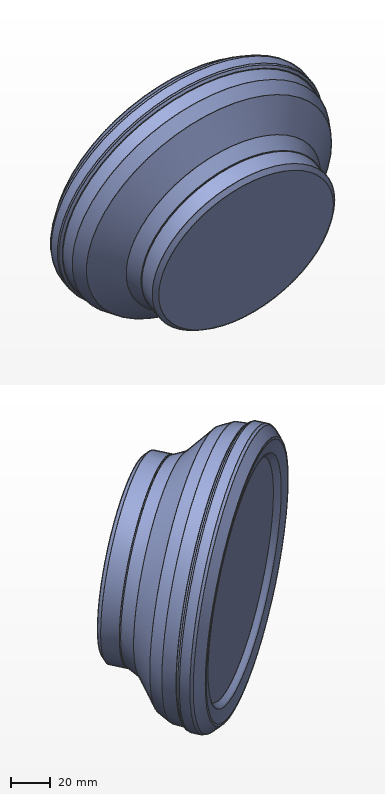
import cadquery as cq

LENGTH = 62.9

BEZEL_RADIUS = 80.0
BEZEL_DEPTH = 14.2
BEZEL_BACK_RADIUS = 78.5
RIM_START = 6.5
RIM_END = 12.0
RIM_BEND = (13.0, 79.7)
BEVEL_FRONT = (0.2, 74.4)
BEVEL_BACK = (4.0, 78.4)
SHOULDER_MID = (5.0, 79.4)
NOSE_TIP_RADIUS = 73.1
FACE_OUTER = (0.3, 72.0)
FACE_INNER = (1.0, 66.7)
LIP_MID = (1.3, 65.8)
LIP_BACK = (1.9, 65.1)

PANEL_X = 4.6
PANEL_RADIUS = 63.2
SHELL_FRONT_RADIUS = 78.0
SHELL_BEND = (21.9, 77.6)
FLARE_START = (29.3, 73.9)
FLARE_END = (42.2, 58.5)
NECK_RADIUS = 109.6 / 2
NECK_X = 50.0
COLLAR_RADIUS = 110.0 / 2
COLLAR_X = 50.7
COLLAR_CHAMFER = 2.4


def revolve_about_x(profile):
    """Turn a closed (x, radius) profile once around the X axis."""
    return profile.close().revolve(360, (0, 0, 0), (1, 0, 0))


def make_bezel():
    profile = (
        cq.Workplane("XY")
        .moveTo(BEZEL_DEPTH, PANEL_RADIUS)
        .lineTo(PANEL_X, PANEL_RADIUS)
        .lineTo(*LIP_BACK)
        .lineTo(*LIP_MID)
        .lineTo(*FACE_INNER)
        .lineTo(*FACE_OUTER)
        .lineTo(0, NOSE_TIP_RADIUS)
        .lineTo(*BEVEL_FRONT)
        .lineTo(*BEVEL_BACK)
        .lineTo(*SHOULDER_MID)
        .lineTo(RIM_START, BEZEL_RADIUS)
        .lineTo(RIM_END, BEZEL_RADIUS)
        .lineTo(*RIM_BEND)
        .lineTo(BEZEL_DEPTH, BEZEL_BACK_RADIUS)
    )
    return revolve_about_x(profile)


def make_housing():
    profile = (
        cq.Workplane("XY")
        .moveTo(PANEL_X, 0)
        .lineTo(PANEL_X, PANEL_RADIUS)
        .lineTo(BEZEL_DEPTH, PANEL_RADIUS)
        .lineTo(BEZEL_DEPTH, SHELL_FRONT_RADIUS)
        .lineTo(*SHELL_BEND)
        .lineTo(*FLARE_START)
        .lineTo(*FLARE_END)
        .lineTo(NECK_X, NECK_RADIUS)
        .lineTo(COLLAR_X, NECK_RADIUS)
        .lineTo(COLLAR_X, COLLAR_RADIUS)
        .lineTo(LENGTH - COLLAR_CHAMFER, COLLAR_RADIUS)
        .lineTo(LENGTH, COLLAR_RADIUS - COLLAR_CHAMFER)
        .lineTo(LENGTH, 0)
    )
    return revolve_about_x(profile)


bezel = make_bezel()
housing = make_housing()

result = cq.Compound.makeCompound([bezel.val(), housing.val()])